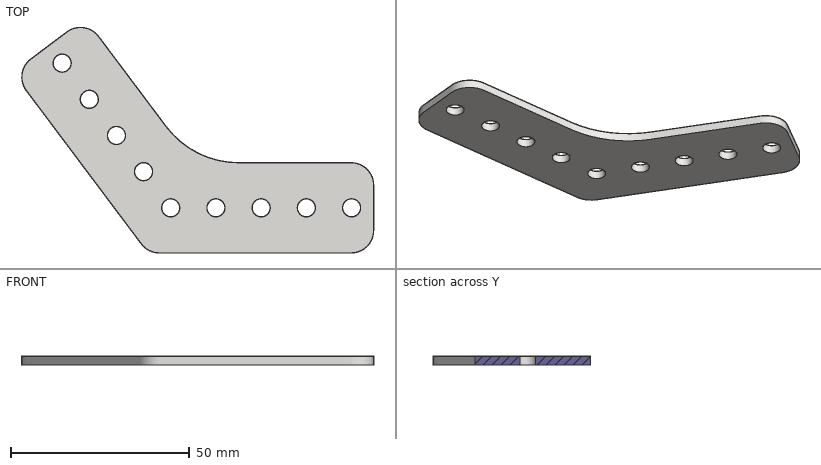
import cadquery as cq
import math

pitch = 12.7
holes_per_arm = 4
hole_diameter = 5.0
thickness = 2.5
half_width = pitch
end_margin = 6.223
corner_radius = pitch / 2
inner_bend_radius = 2 * pitch
arm_angle = math.degrees(math.atan2(4, -3))

arm_length = holes_per_arm * pitch + end_margin
bend_offset = half_width / math.tan(math.radians(arm_angle / 2))


def on_second_arm(along, across):
    """Point on the angled arm; positive across is towards the outside of the bend."""
    angle = math.radians(arm_angle)
    return (
        along * math.cos(angle) - across * math.sin(angle),
        along * math.sin(angle) + across * math.cos(angle),
    )


def make_plate():
    inner_bend = (bend_offset, half_width)
    outer_bend = (-bend_offset, -half_width)
    outer_corners = [
        outer_bend,
        (arm_length, -half_width),
        (arm_length, half_width),
        on_second_arm(arm_length, -half_width),
        on_second_arm(arm_length, half_width),
    ]
    outline = outer_corners[:3] + [inner_bend] + outer_corners[3:]
    plate = cq.Workplane("XY").polyline(outline).close().extrude(thickness)
    for corner in outer_corners:
        plate = round_corner(plate, corner, corner_radius)
    return round_corner(plate, inner_bend, inner_bend_radius)


def round_corner(plate, corner, radius):
    """Fillet the upright edge nearest to the given corner."""
    nearest = cq.selectors.NearestToPointSelector((*corner, thickness / 2))
    return plate.edges("|Z").edges(nearest).fillet(radius)


def drill_holes(plate):
    straight_arm = [(i * pitch, 0) for i in range(holes_per_arm + 1)]
    angled_arm = [on_second_arm(i * pitch, 0) for i in range(1, holes_per_arm + 1)]
    top = plate.faces(">Z").workplane(origin=(0, 0, 0))
    return top.pushPoints(straight_arm + angled_arm).hole(hole_diameter)


result = drill_holes(make_plate())